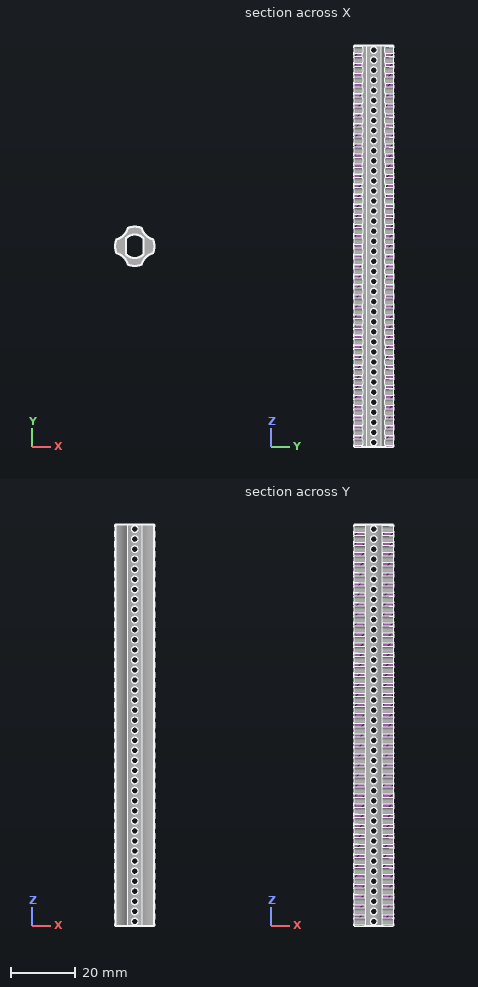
import cadquery as cq
import math

length = 125.0
outer_diameter = 12.5
lobe_width = 4.5
groove_radius = 4.9
bore_diameter = 7.0
bore_width = 5.2
end_chamfer = 0.31
hole_diameter = 2.0
hole_pitch = 3.1

lobe_count = 4
lobe_step = 360 / lobe_count
half_step = lobe_step / 2

outer_radius = outer_diameter / 2
half_lobe_angle = math.degrees(math.asin(lobe_width / outer_diameter))
half_groove_angle = math.radians(half_step - half_lobe_angle)
groove_half_chord = outer_radius * math.sin(half_groove_angle)
chord_distance = outer_radius * math.cos(half_groove_angle)
groove_depth = groove_radius - math.sqrt(groove_radius**2 - groove_half_chord**2)
groove_floor = chord_distance - groove_depth

hole_count = round(length / hole_pitch)


def polar_point(radius, angle):
    """Point at a distance from the axis and an angle in degrees from +X."""
    radians = math.radians(angle)
    return (radius * math.cos(radians), radius * math.sin(radians))


def lobed_bar():
    """Solid bar with round-topped lobes and a concave groove after each lobe."""
    profile = cq.Workplane("XY").moveTo(*polar_point(outer_radius, -half_lobe_angle))
    for i in range(lobe_count):
        lobe_angle = i * lobe_step
        profile = profile.threePointArc(
            polar_point(outer_radius, lobe_angle),
            polar_point(outer_radius, lobe_angle + half_lobe_angle),
        )
        profile = profile.threePointArc(
            polar_point(groove_floor, lobe_angle + half_step),
            polar_point(outer_radius, lobe_angle + lobe_step - half_lobe_angle),
        )
    return profile.close().extrude(length)


def flattened_bore():
    """Round bore with flat walls on its +X and -X sides."""
    round_bore = cq.Workplane("XY").circle(bore_diameter / 2).extrude(length)
    between_flats = cq.Workplane("XY").rect(bore_width, bore_diameter).extrude(length)
    return round_bore.intersect(between_flats)


def cross_holes(plane):
    """Row of holes along the full length, through two opposite lobes."""
    centers = [(0, (i + 0.5) * hole_pitch) for i in range(hole_count)]
    return (
        cq.Workplane(plane)
        .pushPoints(centers)
        .circle(hole_diameter / 2)
        .extrude(outer_radius, both=True)
    )


tube = lobed_bar().cut(flattened_bore())
tube = tube.faces("<Z or >Z").chamfer(end_chamfer)

result = tube.cut(cross_holes("XZ")).cut(cross_holes("YZ"))